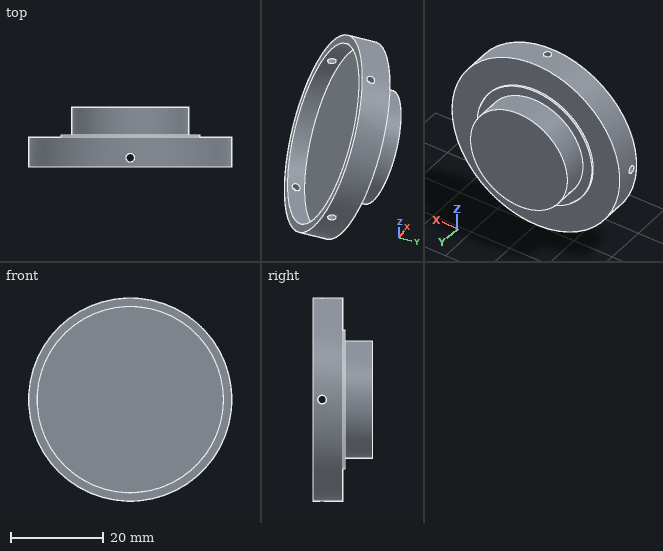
import cadquery as cq

rim_diameter = 44.0
rim_length = 6.5
recess_diameter = 40.3
recess_depth = 4.0
shoulder_diameter = 30.1
shoulder_length = 0.5
hub_diameter = 25.4
hub_length = 6.0
pin_hole_diameter = 1.8
pin_hole_setback = 2.02

total_length = rim_length + shoulder_length + hub_length
front_y = -total_length / 2
rim_back_y = front_y + rim_length
shoulder_back_y = rim_back_y + shoulder_length


def disc(diameter, start_y, length):
    """Solid cylinder along +Y, beginning at start_y."""
    plane = cq.Workplane("XZ", origin=(0, start_y, 0))
    return plane.circle(diameter / 2).extrude(-length)


def cross_hole(plane_name):
    """Radial hole passing through both walls of the rim."""
    plane = cq.Workplane(plane_name, origin=(0, front_y + pin_hole_setback, 0))
    return plane.circle(pin_hole_diameter / 2).extrude(rim_diameter, both=True)


body = disc(rim_diameter, front_y, rim_length)
body = body.union(disc(shoulder_diameter, rim_back_y, shoulder_length))
body = body.union(disc(hub_diameter, shoulder_back_y, hub_length))

body = body.cut(disc(recess_diameter, front_y, recess_depth))

for plane_name in ("XY", "YZ"):
    body = body.cut(cross_hole(plane_name))

result = body